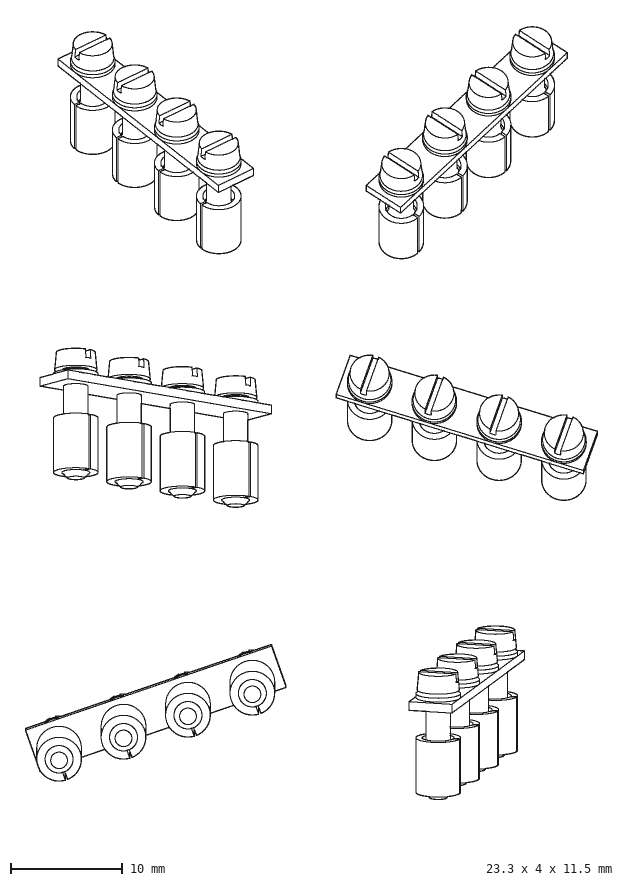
import cadquery as cq

screw_count = 4
screw_pitch = 6.1
end_margin = 2.5

bar_length = (screw_count - 1) * screw_pitch + 2 * end_margin
bar_width = 4.0
bar_thickness = 0.8

collar_radius = bar_width / 2
collar_rim_height = 0.35
collar_top_radius = 1.2
collar_height = 0.6

head_gap = 0.1
head_bottom_radius = 1.9
head_top_radius = 1.75
head_height = 1.6
slot_width = 0.56
slot_depth = 0.8

shank_radius = 1.1
thread_radius = 1.25
tip_height = 0.5
neck_radius = shank_radius + head_gap
tip_radius = thread_radius - tip_height

sleeve_radius = bar_width / 2
sleeve_length = 5.0
sleeve_gap = 2.9
counterbore_radius = 1.425
counterbore_depth = 1.0
slit_width = 0.2

shoulder_start_depth = 0.45
shoulder_end_depth = counterbore_depth

collar_bottom = bar_thickness
collar_top = collar_bottom + collar_height
head_bottom = collar_top + head_gap
head_top = head_bottom + head_height
sleeve_top = -sleeve_gap
sleeve_bottom = sleeve_top - sleeve_length
tip_bottom = sleeve_bottom - tip_height

screw_positions = [(i - (screw_count - 1) / 2) * screw_pitch for i in range(screw_count)]


def make_bar():
    """Flat bar with one close-fitting hole per screw shank."""
    return (
        cq.Workplane("XY")
        .box(bar_length, bar_width, bar_thickness, centered=(True, True, False))
        .faces(">Z")
        .workplane()
        .pushPoints([(x, 0) for x in screw_positions])
        .hole(2 * shank_radius)
    )


def make_screw(x):
    """Slotted screw with collar, waisted shank, plain thread cylinder and chamfered tip."""
    half_profile = [
        (0, tip_bottom),
        (tip_radius, tip_bottom),
        (thread_radius, sleeve_bottom),
        (thread_radius, sleeve_top - shoulder_end_depth),
        (shank_radius, sleeve_top - shoulder_start_depth),
        (shank_radius, collar_bottom),
        (collar_radius, collar_bottom),
        (collar_radius, collar_bottom + collar_rim_height),
        (collar_top_radius, collar_top),
        (shank_radius, collar_top),
        (neck_radius, head_bottom),
        (head_bottom_radius, head_bottom),
        (head_top_radius, head_top),
        (0, head_top),
    ]
    body = cq.Workplane("XZ").polyline(half_profile).close().revolve(360, (0, 0), (0, 1))
    slot = (
        cq.Workplane("XY")
        .workplane(offset=head_top - slot_depth)
        .rect(slot_width, 2 * head_bottom_radius)
        .extrude(slot_depth)
    )
    return body.cut(slot).translate((x, 0, 0))


def make_sleeve(x):
    """Sleeve bored for the thread, counterbored at the top and slit along its -Y side."""
    body = (
        cq.Workplane("XY")
        .workplane(offset=sleeve_bottom)
        .circle(sleeve_radius)
        .extrude(sleeve_length)
        .faces(">Z")
        .workplane()
        .cboreHole(2 * thread_radius, 2 * counterbore_radius, counterbore_depth)
    )
    slit = (
        cq.Workplane("XY")
        .workplane(offset=sleeve_bottom)
        .center(0, -sleeve_radius / 2)
        .rect(slit_width, sleeve_radius)
        .extrude(sleeve_length)
    )
    return body.cut(slit).translate((x, 0, 0))


bar = make_bar()
screws = [make_screw(x).val() for x in screw_positions]
sleeves = [make_sleeve(x).val() for x in screw_positions]

result = cq.Compound.makeCompound([bar.val(), *screws, *sleeves])